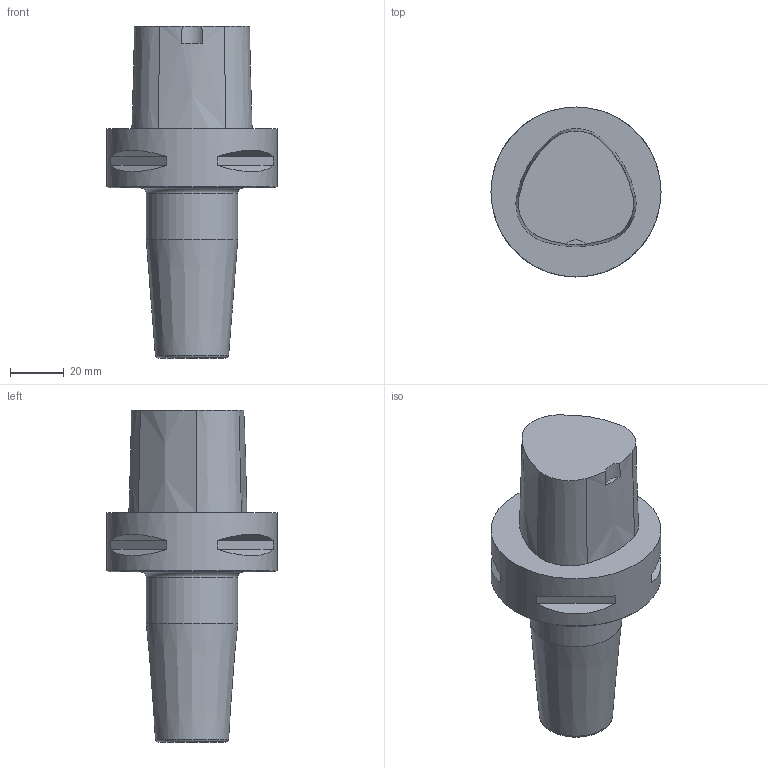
import cadquery as cq
import math

SHANK_LENGTH = 38.0
FLANGE_THICKNESS = 22.0
NOSE_LENGTH = 85.0

FLAT_DISTANCE = 20.35
LOBE_DISTANCE = 23.45
LOBE_RADIUS = 14.7
SHANK_TAPER = math.degrees(math.atan(1 / 40))
LOBE_COUNT = 3
FIRST_LOBE_ANGLE = 90.0

NOTCH_RADIUS = 5.5
NOTCH_FLOOR_DISTANCE = 17.8
NOTCH_HEIGHT = 6.3

FLANGE_DIAMETER = 63.0
FLANGE_CHAMFER = 0.5
GROOVE_COUNT = 4
GROOVE_FLOOR_DISTANCE = 27.9
GROOVE_FLOOR_WIDTH = 3.3
GROOVE_DEPTH_BELOW_FACE = 12.0
GROOVE_WALL_ANGLE = 33.0
RIM_CLEARANCE = 1.0

NECK_DIAMETER = 33.9
NECK_FILLET = 2.0
TIP_DIAMETER = 27.0
CONE_ANGLE = 4.5
TIP_FILLET = 1.0


def polar(distance, angle):
    """Point at a distance from the axis, angle in degrees from +X."""
    radians = math.radians(angle)
    return (distance * math.cos(radians), distance * math.sin(radians))


def polygon_shank():
    """Tapered three-lobed shank standing on the flange face."""
    lobe_centre = LOBE_DISTANCE - LOBE_RADIUS
    flat_radius = (
        LOBE_RADIUS**2 - FLAT_DISTANCE**2 - lobe_centre**2 + FLAT_DISTANCE * lobe_centre
    ) / (lobe_centre + 2 * LOBE_RADIUS - 2 * FLAT_DISTANCE)

    pitch = 360.0 / LOBE_COUNT
    flat_x, flat_y = polar(flat_radius - FLAT_DISTANCE, pitch / 2 + 180)
    lean = math.atan2(-flat_y, lobe_centre - flat_x)
    joint_x = lobe_centre + LOBE_RADIUS * math.cos(lean)
    joint_y = LOBE_RADIUS * math.sin(lean)
    joint_distance = math.hypot(joint_x, joint_y)
    joint_angle = math.degrees(math.atan2(joint_y, joint_x))

    outline = cq.Workplane("XY").moveTo(*polar(joint_distance, FIRST_LOBE_ANGLE - joint_angle))
    for index in range(LOBE_COUNT):
        lobe = FIRST_LOBE_ANGLE + index * pitch
        lobe_end = polar(joint_distance, lobe + joint_angle)
        flat_end = polar(joint_distance, lobe + pitch - joint_angle)
        outline = outline.threePointArc(polar(LOBE_DISTANCE, lobe), lobe_end)
        outline = outline.threePointArc(polar(FLAT_DISTANCE, lobe + pitch / 2), flat_end)
    return outline.close().extrude(SHANK_LENGTH, taper=SHANK_TAPER)


def index_notch():
    """Vertical cylinder that cuts the notch into the -Y flat."""
    return (
        cq.Workplane("XY", origin=(0, -NOTCH_FLOOR_DISTANCE - NOTCH_RADIUS, SHANK_LENGTH))
        .circle(NOTCH_RADIUS)
        .extrude(-NOTCH_HEIGHT)
    )


def flange_and_nose():
    """Revolved flange, neck and cone with their edge breaks."""
    flange_radius = FLANGE_DIAMETER / 2
    neck_radius = NECK_DIAMETER / 2
    tip_radius = TIP_DIAMETER / 2
    cone_length = (neck_radius - tip_radius) / math.tan(math.radians(CONE_ANGLE))
    profile = (
        cq.Workplane("XZ")
        .lineTo(flange_radius, 0)
        .lineTo(flange_radius, FLANGE_CHAMFER - FLANGE_THICKNESS)
        .lineTo(flange_radius - FLANGE_CHAMFER, -FLANGE_THICKNESS)
        .lineTo(neck_radius + NECK_FILLET, -FLANGE_THICKNESS)
        .radiusArc((neck_radius, -FLANGE_THICKNESS - NECK_FILLET), -NECK_FILLET)
        .lineTo(neck_radius, cone_length - NOSE_LENGTH)
        .lineTo(tip_radius, -NOSE_LENGTH)
        .lineTo(0, -NOSE_LENGTH)
        .close()
    )
    body = profile.revolve(360, (0, 0, 0), (0, 1, 0))
    return body.faces("<Z").edges().fillet(TIP_FILLET)


def gripper_groove(angle):
    """Straight trapezoidal groove across the flange rim at the given angle."""
    outer = FLANGE_DIAMETER / 2 + RIM_CLEARANCE
    floor_half = GROOVE_FLOOR_WIDTH / 2
    flare = (outer - GROOVE_FLOOR_DISTANCE) * math.tan(math.radians(GROOVE_WALL_ANGLE))
    return (
        cq.Workplane("XZ", origin=(0, 0, -GROOVE_DEPTH_BELOW_FACE))
        .moveTo(GROOVE_FLOOR_DISTANCE, -floor_half)
        .lineTo(outer, -floor_half - flare)
        .lineTo(outer, floor_half + flare)
        .lineTo(GROOVE_FLOOR_DISTANCE, floor_half)
        .close()
        .extrude(FLANGE_DIAMETER / 2, both=True)
        .rotate((0, 0, 0), (0, 0, 1), angle)
    )


result = flange_and_nose().union(polygon_shank()).cut(index_notch())
for number in range(GROOVE_COUNT):
    result = result.cut(gripper_groove((number + 0.5) * 360.0 / GROOVE_COUNT))